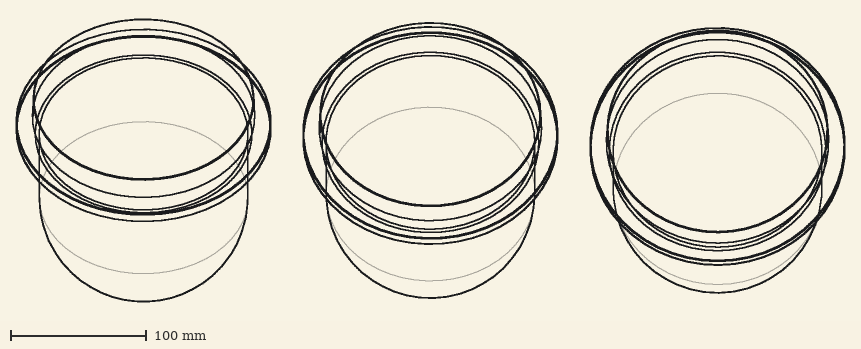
import cadquery as cq

flange_diameter = 188.0
height = 182.8

body_radius = 154.0 / 2

plug_base_radius = 82.0
plug_top_radius = 81.5
plug_height = 18.6
plug_edge_chamfer = 0.5

rim_height = 8.0
upper_cone_height = 5.6
lower_cone_height = 5.0
lower_cone_radius = 80.0
rim_chamfer = 0.5

rim_radius = flange_diameter / 2
plug_base_z = height - plug_height
rim_top_z = plug_base_z - upper_cone_height
rim_bottom_z = rim_top_z - rim_height
flange_bottom_z = rim_bottom_z - lower_cone_height
dome_mid = body_radius * 0.5 ** 0.5

profile = (
    cq.Workplane("XZ")
    .moveTo(0, 0)
    .threePointArc((dome_mid, body_radius - dome_mid), (body_radius, body_radius))
    .lineTo(body_radius, flange_bottom_z)
    .lineTo(lower_cone_radius, flange_bottom_z)
    .lineTo(rim_radius - rim_chamfer, rim_bottom_z)
    .lineTo(rim_radius, rim_bottom_z + rim_chamfer)
    .lineTo(rim_radius, rim_top_z - rim_chamfer)
    .lineTo(rim_radius - rim_chamfer, rim_top_z)
    .lineTo(plug_base_radius, plug_base_z)
    .lineTo(plug_top_radius, height - plug_edge_chamfer)
    .lineTo(plug_top_radius - plug_edge_chamfer, height)
    .lineTo(0, height)
    .close()
)
result = profile.revolve(360, (0, 0, 0), (0, 1, 0))